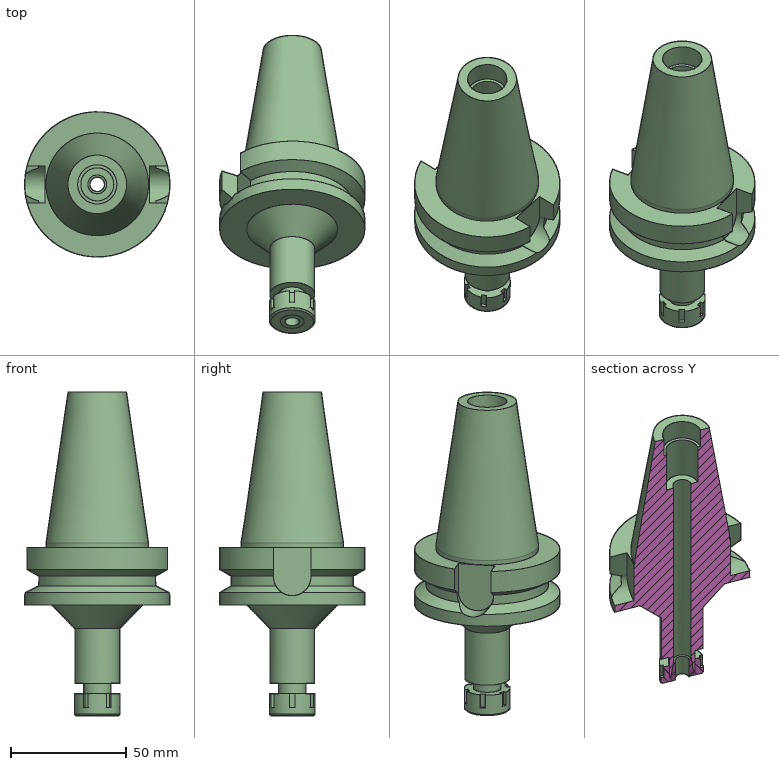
import cadquery as cq
import math


total_height = 140.4
taper_length = 65.4
pilot_length = 2.0
flange_thickness = 25.0
cone_length = 10.2
shank_length = 23.7

gauge_z = total_height - taper_length
flange_top_z = gauge_z - pilot_length
flange_bottom_z = flange_top_z - flange_thickness
shank_top_z = flange_bottom_z - cone_length
shank_bottom_z = shank_top_z - shank_length

taper_top_diameter = 25.4
gauge_diameter = 44.5
flange_diameter = 63.0
cone_top_diameter = 39.5
shank_diameter = 19.5
neck_diameter = 12.0

groove_root_diameter = 53.1
groove_root_width = 4.2
groove_flank_angle = 30.0
groove_depth = 14.6

drive_slot_width = 16.1
drive_slot_depth = 20.9
drive_slot_face_x = 22.6

counterbore_diameter = 17.0
counterbore_depth = 9.4
thread_bore_diameter = 14.3
thread_bore_depth = 29.5
through_bore_diameter = 8.1

nut_height = 9.5
nut_diameter = 20.0
nut_chamfer = 0.7
nut_floor_thickness = 2.1
wrench_slot_count = 6
wrench_slot_width = 2.2
wrench_slot_bottom_z = 3.7
wrench_slot_floor_radius = 8.5

collet_face_diameter = 10.4
collet_bore_diameter = 6.2
collet_taper_angle = 8.0
collet_taper_length = (collet_face_diameter - through_bore_diameter) / 2 / math.tan(
    math.radians(collet_taper_angle)
)
collet_top_z = nut_floor_thickness + collet_taper_length


def revolve_profile(points):
    """Turn a closed (radius, z) outline around the Z axis."""
    return cq.Workplane("XZ").polyline(points).close().revolve(360, (0, 0, 0), (0, 1, 0))


def cylinder(diameter, bottom_z, top_z):
    return cq.Workplane("XY").workplane(offset=bottom_z).circle(diameter / 2).extrude(top_z - bottom_z)


def holder_blank():
    """Taper, grooved flange, cone, shank and neck as one solid of revolution."""
    flange_radius = flange_diameter / 2
    groove_root_radius = groove_root_diameter / 2
    groove_z = flange_top_z - groove_depth
    root_half = groove_root_width / 2
    flank_height = (flange_radius - groove_root_radius) * math.tan(math.radians(groove_flank_angle))
    mouth_half = root_half + flank_height
    return revolve_profile([
        (0, total_height),
        (taper_top_diameter / 2, total_height),
        (gauge_diameter / 2, gauge_z),
        (gauge_diameter / 2, flange_top_z),
        (flange_radius, flange_top_z),
        (flange_radius, groove_z + mouth_half),
        (groove_root_radius, groove_z + root_half),
        (groove_root_radius, groove_z - root_half),
        (flange_radius, groove_z - mouth_half),
        (flange_radius, flange_bottom_z),
        (cone_top_diameter / 2, flange_bottom_z),
        (shank_diameter / 2, shank_top_z),
        (shank_diameter / 2, shank_bottom_z),
        (neck_diameter / 2, shank_bottom_z),
        (neck_diameter / 2, nut_floor_thickness),
        (0, nut_floor_thickness),
    ])


def drive_slot(side):
    """Round-bottomed slot cutter, open at the top and the rim; side is +1 or -1 along X."""
    half_width = drive_slot_width / 2
    bottom_z = flange_top_z - drive_slot_depth
    arc_center_z = bottom_z + half_width
    reach = flange_diameter / 2 - drive_slot_face_x
    return (
        cq.Workplane("YZ")
        .workplane(offset=side * drive_slot_face_x)
        .moveTo(-half_width, flange_top_z)
        .lineTo(-half_width, arc_center_z)
        .threePointArc((0, bottom_z), (half_width, arc_center_z))
        .lineTo(half_width, flange_top_z)
        .close()
        .extrude(side * reach)
    )


def holder_bore():
    """Counterbore, thread bore and through bore, ending above the collet."""
    counterbore = cylinder(counterbore_diameter, total_height - counterbore_depth, total_height)
    thread_bore = cylinder(thread_bore_diameter, total_height - thread_bore_depth, total_height)
    through_bore = cylinder(through_bore_diameter, collet_top_z, total_height)
    return counterbore.union(thread_bore).union(through_bore)


def collet_blank():
    """Straight front end in the nut floor, then a taper that narrows upward."""
    return revolve_profile([
        (0, 0),
        (collet_face_diameter / 2, 0),
        (collet_face_diameter / 2, nut_floor_thickness),
        (through_bore_diameter / 2, collet_top_z),
        (0, collet_top_z),
    ])


def make_holder():
    holder = holder_blank().cut(holder_bore()).cut(collet_blank())
    for side in (-1, 1):
        holder = holder.cut(drive_slot(side))
    return holder


def make_nut():
    nut = cylinder(nut_diameter, 0, nut_height).faces("<Z").chamfer(nut_chamfer)
    nut = nut.cut(cylinder(collet_face_diameter, 0, nut_floor_thickness))
    nut = nut.cut(cylinder(neck_diameter, nut_floor_thickness, nut_height))
    slot_length = nut_diameter / 2 - wrench_slot_floor_radius
    slot = cq.Workplane("XY").box(
        slot_length, wrench_slot_width, nut_height - wrench_slot_bottom_z, centered=(False, True, False)
    ).translate((wrench_slot_floor_radius, 0, wrench_slot_bottom_z))
    for index in range(wrench_slot_count):
        nut = nut.cut(slot.rotate((0, 0, 0), (0, 0, 1), index * 360 / wrench_slot_count))
    return nut


def make_collet():
    return collet_blank().cut(cylinder(collet_bore_diameter, 0, collet_top_z))


holder = make_holder()
nut = make_nut()
collet = make_collet()

result = cq.Compound.makeCompound([holder.solids().val(), nut.solids().val(), collet.solids().val()])